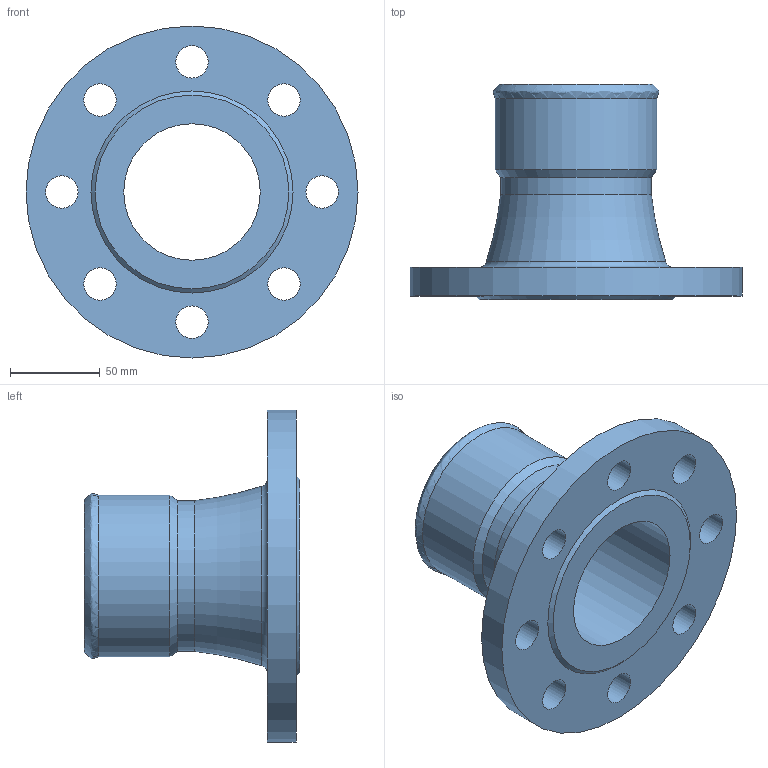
import cadquery as cq
import math


flange_diameter = 185.0
flange_radius = flange_diameter / 2
flange_thickness = 16.0
face_height = 2.0
face_base_radius = 56.3
face_radius = 54.0
bolt_count = 8
bolt_circle_diameter = 145.0
bolt_hole_diameter = 18.0

total_length = 120.0
bore_diameter = 76.0
sleeve_radius = 45.0
neck_radius = 42.0
hub_radius = 50.0
flare_radius = 190.0
root_fillet_height = 3.0
bead_radius = 46.2
bead_end_radius = 42.6

flange_back = face_height + flange_thickness
hub_start = flange_back + root_fillet_height
neck_start = 58.5
neck_end = 68.0
sleeve_start = 72.3
sleeve_end = 112.0
bead_crest = 115.3


def make_body():
    """Revolve the outer profile, drawn as (radius, Y), about the Y axis."""
    flare_length = neck_start - hub_start
    flare_rise = hub_radius - neck_radius
    chord_length = math.hypot(flare_length, flare_rise)
    chord_angle = math.atan2(flare_rise, flare_length)
    half_arc_angle = math.asin(chord_length / 2 / flare_radius)
    flare_sag = flare_radius * (1 - math.cos(half_arc_angle))
    flare_middle = (
        (hub_radius + neck_radius) / 2 - flare_sag * math.cos(chord_angle),
        (hub_start + neck_start) / 2 - flare_sag * math.sin(chord_angle),
    )

    foot_angle = chord_angle + half_arc_angle
    fillet_radius = root_fillet_height / (1 - math.sin(foot_angle))
    fillet_center_radius = hub_radius + fillet_radius * math.cos(foot_angle)
    fillet_center_y = flange_back + fillet_radius
    fillet_middle_angle = (foot_angle + math.pi / 2) / 2
    fillet_middle = (
        fillet_center_radius - fillet_radius * math.cos(fillet_middle_angle),
        fillet_center_y - fillet_radius * math.sin(fillet_middle_angle),
    )

    bead_points = [(bead_radius, bead_crest), (bead_end_radius, total_length)]
    bead_tangents = [(0, 1), (-1, 1)]

    profile = (
        cq.Workplane("XY")
        .lineTo(face_radius, 0)
        .lineTo(face_base_radius, face_height)
        .lineTo(flange_radius, face_height)
        .lineTo(flange_radius, flange_back)
        .lineTo(fillet_center_radius, flange_back)
        .threePointArc(fillet_middle, (hub_radius, hub_start))
        .threePointArc(flare_middle, (neck_radius, neck_start))
        .lineTo(neck_radius, neck_end)
        .lineTo(sleeve_radius, sleeve_start)
        .lineTo(sleeve_radius, sleeve_end)
        .spline(bead_points, tangents=bead_tangents, includeCurrent=True)
        .lineTo(0, total_length)
        .close()
    )
    return profile.revolve(360, (0, 0, 0), (0, 1, 0))


def make_bore():
    """Straight bore through the whole length."""
    return cq.Workplane("XZ").circle(bore_diameter / 2).extrude(-total_length)


def make_bolt_holes():
    """Ring of bolt holes through the flange."""
    return (
        cq.Workplane("XZ")
        .polarArray(bolt_circle_diameter / 2, 0, 360, bolt_count)
        .circle(bolt_hole_diameter / 2)
        .extrude(-flange_back)
    )


result = make_body().cut(make_bore()).cut(make_bolt_holes())